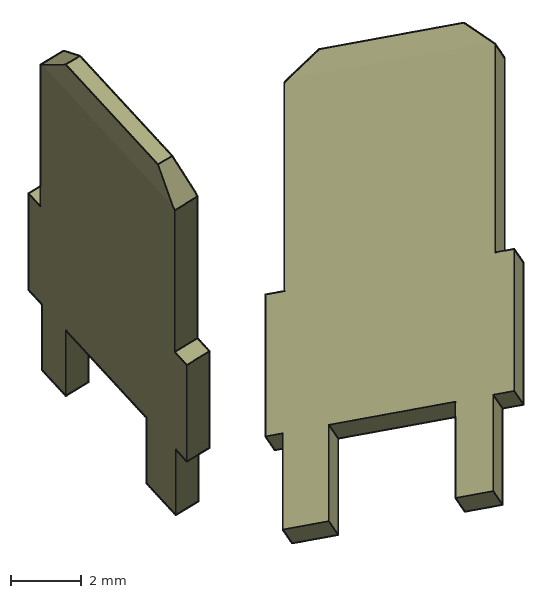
import cadquery as cq

height = 15.8
body_width = 7.49
thickness = 0.8

leg_length = 3.19
shoulder_level = 7.9
blade_width = 6.35
corner_cut = 1.0

left_leg_start = -3.11
left_leg_width = 1.14
right_leg_start = 1.83
right_leg_width = 1.39

bevel_height = 0.9
tip_thickness = 0.5


def upright_plate(x_start, z_start, width, plate_height):
    """Plate of full thickness, centred on Y."""
    return cq.Workplane("XY").box(
        width, thickness, plate_height, centered=(False, True, False)
    ).translate((x_start, 0, z_start))


def blade():
    """Blade with cut corners and a tip tapered on both faces."""
    corner_level = height - corner_cut
    bevel_level = height - bevel_height
    half_width = blade_width / 2
    half_tip = half_width - corner_cut
    half_thickness = thickness / 2

    outline = (
        cq.Workplane("XZ")
        .polyline([
            (-half_width, shoulder_level),
            (half_width, shoulder_level),
            (half_width, corner_level),
            (half_tip, height),
            (-half_tip, height),
            (-half_width, corner_level),
        ])
        .close()
        .extrude(half_thickness, both=True)
    )
    side_profile = (
        cq.Workplane("YZ")
        .polyline([
            (-half_thickness, shoulder_level),
            (half_thickness, shoulder_level),
            (half_thickness, bevel_level),
            (tip_thickness / 2, height),
            (-tip_thickness / 2, height),
            (-half_thickness, bevel_level),
        ])
        .close()
        .extrude(half_width, both=True)
    )
    return outline.intersect(side_profile)


body = upright_plate(-body_width / 2, leg_length, body_width, shoulder_level - leg_length)
left_leg = upright_plate(left_leg_start, 0, left_leg_width, leg_length)
right_leg = upright_plate(right_leg_start, 0, right_leg_width, leg_length)

result = body.union(blade()).union(left_leg).union(right_leg)